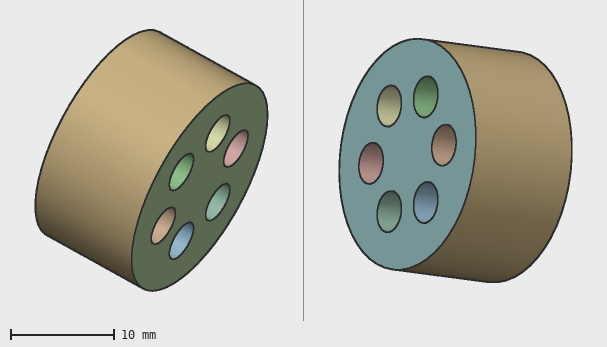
import cadquery as cq

disc_diameter = 22.5
disc_thickness = 11.5
hole_diameter = 4.0
hole_circle_diameter = 12.0
hole_count = 6

disc = cq.Workplane("YZ").circle(disc_diameter / 2).extrude(disc_thickness)

holes = (
    cq.Workplane("YZ")
    .polarArray(hole_circle_diameter / 2, 0, 360, hole_count)
    .circle(hole_diameter / 2)
    .extrude(disc_thickness)
)

result = disc.cut(holes)